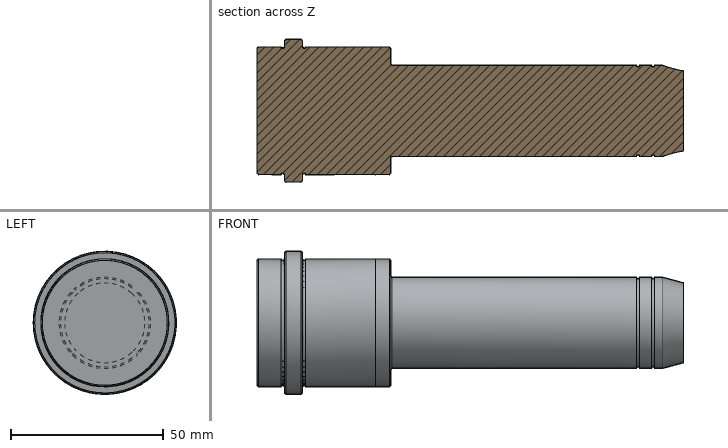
import cadquery as cq
import math

length = 140.0
collar_start = 9.0
collar_end = 15.0
lead_in_start = 39.0
head_end = 44.0
tip_start = 133.0

head_diameter = 42.0
collar_diameter = 47.0
shank_diameter = 30.0
lead_in_diameter = 41.98

edge_chamfer = 0.5

tip_taper_angle = 15.0

shank_fillet = 0.5

root_overlap = 1.0

groove_radius = 0.5
head_groove_centers = (collar_start - groove_radius, collar_end + groove_radius)
shank_groove_centers = (125.0, 130.0)


def cylinder(start, end, diameter):
    """Solid cylinder on the X axis between two axial positions."""
    return cq.Workplane("YZ", origin=(start, 0, 0)).circle(diameter / 2).extrude(end - start)


def make_head():
    """Head with chamfered ends and a slightly reduced lead-in next to the shank."""
    front = cylinder(0, lead_in_start, head_diameter).faces("<X").chamfer(edge_chamfer)
    lead_in = cylinder(lead_in_start, head_end, lead_in_diameter).faces(">X").chamfer(edge_chamfer)
    return front.union(lead_in)


def make_collar():
    """Collar with both rims chamfered."""
    return cylinder(collar_start, collar_end, collar_diameter).faces("<X or >X").chamfer(edge_chamfer)


def make_shank():
    """Shank with a flared root at the head and a tapered tip."""
    radius = shank_diameter / 2
    tip_radius = radius - (length - tip_start) * math.tan(math.radians(tip_taper_angle))
    root_middle = shank_fillet * (1 - math.cos(math.radians(45)))
    profile = (
        cq.Workplane("XZ")
        .moveTo(head_end - root_overlap, 0)
        .lineTo(head_end - root_overlap, radius + shank_fillet)
        .lineTo(head_end, radius + shank_fillet)
        .threePointArc((head_end + root_middle, radius + root_middle), (head_end + shank_fillet, radius))
        .lineTo(tip_start, radius)
        .lineTo(length, tip_radius)
        .lineTo(length, 0)
        .close()
    )
    return profile.revolve(360, (0, 0, 0), (1, 0, 0))


def make_groove(center, surface_diameter):
    """Torus that cuts a half-round groove around a cylindrical surface."""
    surface_radius = surface_diameter / 2
    section = cq.Workplane("XZ").center(center, surface_radius).circle(groove_radius)
    return section.revolve(360, (0, -surface_radius, 0), (1, -surface_radius, 0))


head = make_head()
for groove_center in head_groove_centers:
    head = head.cut(make_groove(groove_center, head_diameter))

shank = make_shank()
for groove_center in shank_groove_centers:
    shank = shank.cut(make_groove(groove_center, shank_diameter))

result = head.union(make_collar()).union(shank)